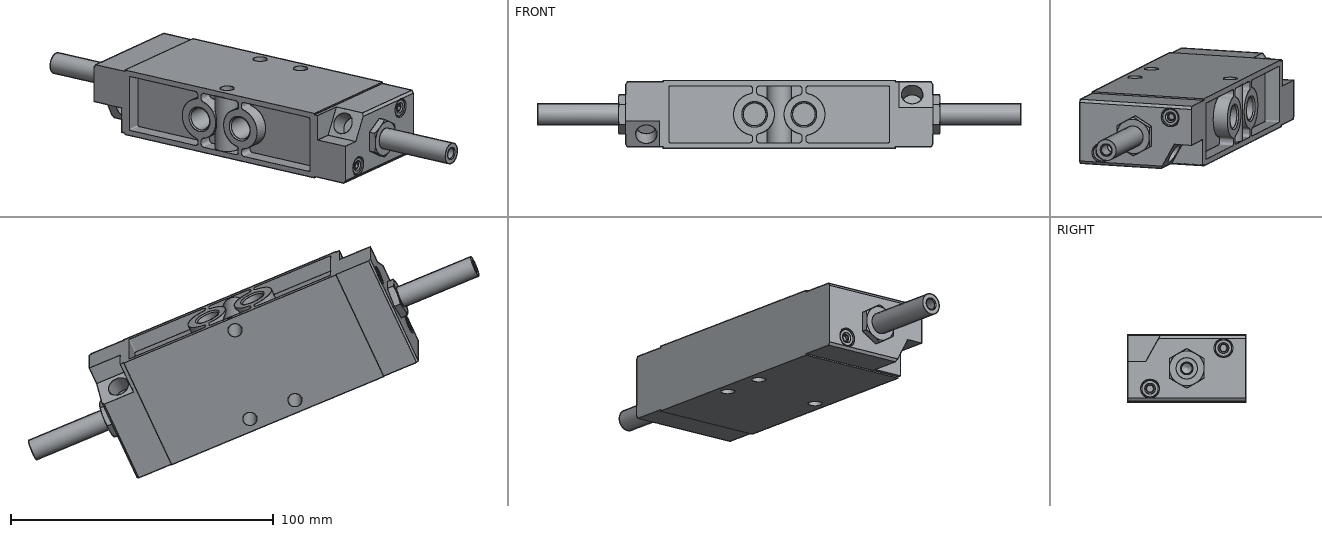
import cadquery as cq
import math

overall_length = 184.0
depth = 45.0
body_length = 88.3
body_height = 26.0

cap_height = 24.8
cap_end = 58.5
cap_chamfer_length = 0.7
cap_chamfer_height = 1.1

nut_across_flats = 13.0
nut_thickness = 2.8
nut_face_diameter = 13.2
nut_chamfer_angle = 20.0
rod_diameter = 8.1
rod_hole_diameter = 4.0
rod_countersink_diameter = 4.8
rod_hole_depth = 7.4
drill_tip_angle = 118.0

recess_length = 83.9
recess_height = 21.7
recess_depth = 5.7
recess_corner_radius = 0.5
port_offset = 9.4
outer_boss_diameter = 16.0
inner_boss_diameter = 15.0
port_diameter = 8.6
port_mouth_diameter = 9.8
port_depth = 11.0
rib_thickness = 1.5
rib_root_radius = 1.3

mount_hole_diameter = 5.3
mount_hole_inset = 5.0
mount_sleeve_diameter = 9.4

notch_start = 45.6
notch_ledge_z = 2.5
notch_slope_top_y = -10.1
notch_slope_bottom_y = -15.6
notch_hole_x = 50.6
notch_hole_z = 7.5
notch_hole_diameter = 8.1
notch_hole_depth = 7.5

screw_y = 14.0
screw_z = 7.7
screw_seat_diameter = 7.2
screw_seat_depth = 4.0
screw_head_diameter = 6.3
screw_head_height = 3.7
screw_socket_mouth = 4.0
screw_socket_across_corners = 3.0
screw_socket_depth = 1.8

front_y = -depth / 2


def cylinder_y(diameter, length, x, start_y):
    """Cylinder running toward +Y from start_y, centred on z = 0."""
    start = cq.Vector(x, start_y, 0)
    return cq.Workplane(cq.Solid.makeCylinder(diameter / 2, length, start, cq.Vector(0, 1, 0)))


def cylinder_x(diameter, length, start_x, y=0.0, z=0.0):
    """Cylinder running toward +X from start_x."""
    start = cq.Vector(start_x, y, z)
    return cq.Workplane(cq.Solid.makeCylinder(diameter / 2, length, start, cq.Vector(1, 0, 0)))


def pocket_around_bosses(length, centre_x, boss_diameter):
    """Rectangular pocket in the front face with the given boss diameter left standing at both ports."""
    pocket = cq.Workplane("XY").box(length, recess_depth, recess_height)
    pocket = pocket.translate((centre_x, front_y + recess_depth / 2, 0))
    for x in (-port_offset, port_offset):
        pocket = pocket.cut(cylinder_y(boss_diameter, recess_depth, x, front_y))
    return pocket


def front_recess():
    """Two long outer pockets and a middle one; ribs, bosses and the mounting sleeve are left standing."""
    inner_x = port_offset + rib_thickness / 2
    outer_x = recess_length / 2
    length = outer_x - inner_x
    rib_side = cq.selectors.BoxSelector(
        (inner_x - rib_thickness / 4, -depth, -body_height),
        (inner_x + rib_thickness / 4, depth, body_height),
    )
    outer = pocket_around_bosses(length, (inner_x + outer_x) / 2, outer_boss_diameter)
    outer = outer.edges("|Y and >X").fillet(recess_corner_radius)
    outer = outer.edges("|Y").edges(rib_side).fillet(rib_root_radius)

    middle_length = 2 * port_offset - rib_thickness
    middle = pocket_around_bosses(middle_length, 0, inner_boss_diameter)
    middle = middle.edges("|Y").fillet(rib_root_radius)

    sleeve_radius = mount_sleeve_diameter / 2
    sleeve_axis_y = front_y + mount_hole_inset
    floor_y = front_y + recess_depth
    sleeve = (
        cq.Workplane("XY")
        .moveTo(-sleeve_radius, floor_y)
        .lineTo(-sleeve_radius, sleeve_axis_y)
        .threePointArc((0, sleeve_axis_y - sleeve_radius), (sleeve_radius, sleeve_axis_y))
        .lineTo(sleeve_radius, floor_y)
        .close()
        .extrude(recess_height / 2, both=True)
    )
    return outer.union(outer.mirror("YZ")).union(middle.cut(sleeve))


def ports():
    """Blind port holes with a chamfered mouth."""
    chamfer = (port_mouth_diameter - port_diameter) / 2
    cutters = cq.Workplane("XY")
    for x in (-port_offset, port_offset):
        mouth = cq.Solid.makeCone(
            port_mouth_diameter / 2,
            port_diameter / 2,
            chamfer,
            cq.Vector(x, front_y, 0),
            cq.Vector(0, 1, 0),
        )
        cutters = cutters.add(cylinder_y(port_diameter, port_depth, x, front_y)).add(mouth)
    return cutters.combine()


def main_body():
    """Central block with its front recess, ports and vertical mounting holes."""
    body = cq.Workplane("XY").box(body_length, depth, body_height)
    body = body.cut(front_recess()).cut(ports())
    mount_y = depth / 2 - mount_hole_inset
    mount_points = [(-port_offset, mount_y), (port_offset, mount_y), (0, -mount_y)]
    mount_holes = (
        cq.Workplane("XY")
        .pushPoints(mount_points)
        .circle(mount_hole_diameter / 2)
        .extrude(body_height / 2, both=True)
    )
    return body.cut(mount_holes)


def notch():
    """Upper front corner cut from the right cap, with the hole drilled square to its slope."""
    top_z = cap_height / 2
    profile = [
        (front_y, notch_ledge_z),
        (notch_slope_bottom_y, notch_ledge_z),
        (notch_slope_top_y, top_z),
        (front_y, top_z),
    ]
    corner = (
        cq.Workplane("YZ", origin=(notch_start, 0, 0))
        .polyline(profile)
        .close()
        .extrude(cap_end - notch_start)
    )
    run = notch_slope_top_y - notch_slope_bottom_y
    rise = top_z - notch_ledge_z
    hole_y = notch_slope_bottom_y + run * (notch_hole_z - notch_ledge_z) / rise
    hole = cq.Solid.makeCylinder(
        notch_hole_diameter / 2,
        notch_hole_depth,
        cq.Vector(notch_hole_x, hole_y, notch_hole_z),
        cq.Vector(0, rise, -run),
    )
    return corner.union(cq.Workplane(hole))


def edge_chamfer(side):
    """Steep wedge cut from the outer top (side = 1) or bottom (side = -1) edge of the right cap."""
    edge_z = side * cap_height / 2
    profile = [
        (cap_end, edge_z),
        (cap_end - cap_chamfer_length, edge_z),
        (cap_end, edge_z - side * cap_chamfer_height),
    ]
    wedge = cq.Workplane("XZ").polyline(profile).close()
    return wedge.extrude(depth / 2, both=True)


def screw_head(seat_floor):
    """Cap screw head on the X axis with a countersunk hexagon socket."""
    head_top = seat_floor + screw_head_height
    head = cylinder_x(screw_head_diameter, screw_head_height, seat_floor)
    socket = (
        cq.Workplane("YZ", origin=(head_top, 0, 0))
        .polygon(6, screw_socket_across_corners)
        .extrude(-screw_socket_depth)
    )
    mouth_radius = screw_socket_mouth / 2
    throat_radius = screw_socket_across_corners / 2
    countersink = cq.Solid.makeCone(
        mouth_radius,
        throat_radius,
        mouth_radius - throat_radius,
        cq.Vector(head_top, 0, 0),
        cq.Vector(-1, 0, 0),
    )
    return head.cut(socket).cut(cq.Workplane(countersink))


def end_cap():
    """Right cap with its notch and two sunk socket screws."""
    length = cap_end - body_length / 2
    cap = cq.Workplane("XY").box(length, depth, cap_height)
    cap = cap.translate((cap_end - length / 2, 0, 0))
    for side in (-1, 1):
        cap = cap.cut(edge_chamfer(side))
    cap = cap.cut(notch())
    seat_floor = cap_end - screw_seat_depth
    for side in (-1, 1):
        y = side * screw_y
        z = side * screw_z
        cap = cap.cut(cylinder_x(screw_seat_diameter, screw_seat_depth, seat_floor, y, z))
        cap = cap.union(screw_head(seat_floor).translate((0, y, z)))
    return cap


def rod_and_nut():
    """Hexagon nut and push rod on the right end; the rod end has a countersunk drilled hole."""
    across_corners = nut_across_flats / math.cos(math.pi / 6)
    nut = (
        cq.Workplane("YZ", origin=(cap_end, 0, 0))
        .transformed(rotate=(0, 0, 90))
        .polygon(6, across_corners)
        .extrude(nut_thickness)
    )
    face_radius = nut_face_diameter / 2
    corner_radius = across_corners / 2
    chamfer_length = (corner_radius - face_radius) * math.tan(math.radians(nut_chamfer_angle))
    nut_end = cap_end + nut_thickness
    corner_limit = (
        cq.Workplane("XY")
        .moveTo(cap_end, 0)
        .lineTo(cap_end, corner_radius)
        .lineTo(nut_end - chamfer_length, corner_radius)
        .lineTo(nut_end, face_radius)
        .lineTo(nut_end, 0)
        .close()
        .revolve(360, (0, 0, 0), (1, 0, 0))
    )
    nut = nut.intersect(corner_limit)
    rod_end = overall_length / 2
    rod = cylinder_x(rod_diameter, rod_end - cap_end, cap_end)

    hole_radius = rod_hole_diameter / 2
    mouth_radius = rod_countersink_diameter / 2
    hole_floor = rod_end - rod_hole_depth
    tip = hole_floor - hole_radius / math.tan(math.radians(drill_tip_angle / 2))
    hole = (
        cq.Workplane("XY")
        .moveTo(tip, 0)
        .lineTo(hole_floor, hole_radius)
        .lineTo(rod_end - (mouth_radius - hole_radius), hole_radius)
        .lineTo(rod_end, mouth_radius)
        .lineTo(rod_end, 0)
        .close()
        .revolve(360, (0, 0, 0), (1, 0, 0))
    )
    return nut.union(rod).cut(hole)


right_end = end_cap().union(rod_and_nut())
left_end = right_end.rotate((0, 0, 0), (0, 1, 0), 180)
result = main_body().union(right_end).union(left_end)